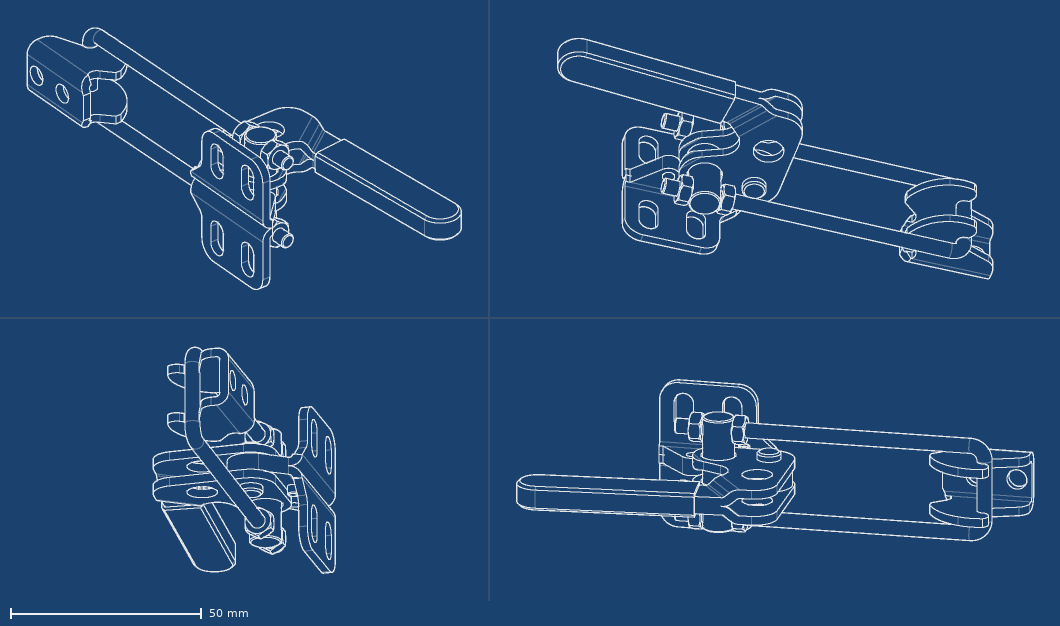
import cadquery as cq
import math


overall_length = 129.61
overall_height = 46.1
sheet = 2.4
bend_inner = 0.9
bend_outer = bend_inner + sheet
pivot = (68.0, 14.0)
barrel_axis = (81.55, 14.0)
hook_axis = (10.3, 12.9)

catch_half_width = 8.0
catch_length = 24.0
catch_corner_length = 2.1
catch_corner_width = 4.1
catch_hole_diameter = 5.3
catch_hole_places = (4.0, 15.0)
wall_end_low = (0, 4.8)
wall_end_middle = (0.7, 6.9)
wall_end_high = (2.1, 8.1)
slot_lip = (9.6, 10.9)
finger_root = (9.4, 14.95)
finger_tip_low = (8.6, 16.0)
finger_tip_middle = (8.4, 18.2)
finger_tip_high = (9.3, 19.4)
crest = (12.5, 19.8)
crest_end = (16.0, 19.3)
back_middle = (21.6, 16.4)
back_end = (25.4, 11.4)
back_corner = (25.4, 9.7)
neck_top = (22.2, 6.9)
neck_middle = (21.1, 5.2)
neck_foot = (21.6, bend_outer)

wire_radius = 2.0
rod_spacing = 24.2
hook_bend_radius = 3.8
rod_overhang = 11.45
rod_end_chamfer = 0.3
bolt_tilt = math.degrees(math.atan2(barrel_axis[1] - hook_axis[1], barrel_axis[0] - hook_axis[0]))
nut_across_flats = 7.0
nut_height = 3.2
nut_chamfer_angle = math.radians(35)
barrel_radius = 4.2
barrel_length = 30.8
barrel_chamfer = 0.35

base_lift = 0.3
bend_top = base_lift + bend_outer
flange_left = 74.0
flange_right = 100.0
flange_half_width = 20.0
flange_corner_radius = 5.0
flange_neck = (69.2, bend_outer)
flange_shoulder_z = 7.6
flange_shoulder_radius = 3.0
flange_slot_width = 5.2
flange_slot_length = 10.2
flange_slot_spacing = 13.0
flange_slot_z = 12.0
lobe_radius = 6.2
web_foot_left = 67.9
web_foot_right = 98.8
stop_centre = (89.8, 8.5)
stop_radius = 3.1
stop_hole_diameter = 3.2
valley_y = 9.5
eyelet_centre = (76.75, 5.0)
eyelet_outer_diameter = 3.0
eyelet_hole_diameter = 2.2
eyelet_chamfer = 0.25
rivet_shank_diameter = 5.0
rivet_head_diameter = 6.3
rivet_head_height = 2.0
rivet_head_chamfer = 0.5

lever_outer_z = 2 * sheet
lever_end_radius = 6.8
lever_hole_centre = (68.1, 27.3)
lever_hole_diameter = 8.0
lever_top_corner_radius = 6.0
barrel_hole_diameter = 9.2
throat_radius = 5.0
throat_from_grip_end = 43.9
handle_angle = math.radians(5)
grip_radius = 5.6
grip_wall = 0.9
grip_length = 42.0
grip_end_centre = (overall_length - grip_radius, overall_height - grip_radius)
grip_chamfer = 0.8
tail_radius = grip_radius - grip_wall
joggle_start = (69.5, 40.9)
joggle_direction = math.radians(35.6)
joggle_slope = math.radians(45)
reach = 100.0


def polar(centre, radius, angle):
    return (centre[0] + radius * math.cos(angle), centre[1] + radius * math.sin(angle))


def tangent_angle(centre, radius, point, side):
    """Direction, from the centre, of the place where a line from the point touches the circle."""
    dx = point[0] - centre[0]
    dy = point[1] - centre[1]
    return math.atan2(dy, dx) + side * math.acos(radius / math.hypot(dx, dy))


def handle_point(along, across):
    """A point measured along and across the handle from the centre of its round end."""
    middle = polar(grip_end_centre, along, handle_angle)
    return polar(middle, across, handle_angle + math.pi / 2)


def both_sides(half):
    return half.union(half.mirror("XY"))


def plate(outline, half_thickness):
    return outline.extrude(half_thickness, both=True)


def disc(centre, diameter, half_thickness):
    return plate(cq.Workplane("XY").center(*centre).circle(diameter / 2), half_thickness)


def bend_section(x_start, y_centre, z_centre, side):
    """Quarter-round sheet bend in the YZ plane; side is the Z direction of its web."""
    def at(radius, angle):
        return (y_centre - radius * math.sin(angle), z_centre + side * radius * math.cos(angle))
    quarter = math.pi / 2
    return (
        cq.Workplane("YZ", origin=(x_start, 0, 0))
        .moveTo(*at(bend_inner, 0))
        .lineTo(*at(bend_outer, 0))
        .threePointArc(at(bend_outer, quarter / 2), at(bend_outer, quarter))
        .lineTo(*at(bend_inner, quarter))
        .threePointArc(at(bend_inner, quarter / 2), at(bend_inner, 0))
        .close()
    )


def make_catch():
    flat_half_width = catch_half_width - bend_outer
    slot_x, slot_y = hook_axis
    floor = (
        cq.Workplane("XY")
        .box(catch_length, sheet, 2 * flat_half_width, centered=(False, False, True))
    )
    bend = bend_section(0, bend_outer, flat_half_width, 1).extrude(catch_length)
    corner = (
        cq.Workplane("XZ")
        .moveTo(catch_length, -(catch_half_width - catch_corner_width))
        .lineTo(catch_length, -catch_half_width)
        .lineTo(catch_length - catch_corner_length, -catch_half_width)
        .close()
        .extrude(-bend_outer)
    )
    wall = (
        cq.Workplane("XY", origin=(0, 0, catch_half_width - sheet))
        .moveTo(0, bend_outer)
        .lineTo(*wall_end_low)
        .threePointArc(wall_end_middle, wall_end_high)
        .lineTo(*slot_lip)
        .lineTo(slot_x, slot_y - wire_radius)
        .threePointArc((slot_x + wire_radius, slot_y), (slot_x, slot_y + wire_radius))
        .lineTo(*finger_root)
        .lineTo(*finger_tip_low)
        .threePointArc(finger_tip_middle, finger_tip_high)
        .threePointArc(crest, crest_end)
        .threePointArc(back_middle, back_end)
        .lineTo(*back_corner)
        .lineTo(*neck_top)
        .threePointArc(neck_middle, neck_foot)
        .close()
        .extrude(sheet)
    )
    half = bend.union(wall)
    body = floor.union(both_sides(half)).cut(both_sides(corner.mirror("XY")))
    for x in catch_hole_places:
        hole = cq.Workplane("XZ").center(x, 0).circle(catch_hole_diameter / 2).extrude(-sheet)
        body = body.cut(hole)
    return body


def tilt(body):
    return body.rotate((*hook_axis, 0), (*hook_axis, 1), bolt_tilt)


def make_bolt():
    half_span = rod_spacing / 2
    rod_end = math.dist(hook_axis, barrel_axis) + rod_overhang
    mid_bend = hook_bend_radius * (1 - math.sqrt(0.5))
    path = (
        cq.Workplane("XZ", origin=(*hook_axis, 0))
        .moveTo(rod_end, -half_span)
        .lineTo(hook_bend_radius, -half_span)
        .threePointArc((mid_bend, mid_bend - half_span), (0, hook_bend_radius - half_span))
        .lineTo(0, half_span - hook_bend_radius)
        .threePointArc((mid_bend, half_span - mid_bend), (hook_bend_radius, half_span))
        .lineTo(rod_end, half_span)
    )
    section = cq.Workplane("YZ", origin=(hook_axis[0] + rod_end, hook_axis[1], -half_span))
    wire = section.circle(wire_radius).sweep(path)
    return tilt(wire.faces(">X").chamfer(rod_end_chamfer))


def make_nut(offset, z):
    """Hexagon nut centred at the offset from the barrel axis along the rod."""
    corner_diameter = nut_across_flats / math.cos(math.pi / 6)
    corner_cut = (corner_diameter - nut_across_flats) / 2
    axis_x = hook_axis[0] + math.dist(hook_axis, barrel_axis) + offset
    chamfer_depth = corner_cut * math.tan(nut_chamfer_angle)
    plane = cq.Plane(origin=(axis_x - nut_height / 2, hook_axis[1], z), xDir=(0, 0, 1), normal=(1, 0, 0))
    hexagon = cq.Workplane(plane).polygon(6, corner_diameter).extrude(nut_height)
    chamfered = (
        cq.Workplane(plane)
        .circle(corner_diameter / 2)
        .extrude(nut_height)
        .edges()
        .chamfer(chamfer_depth, corner_cut)
    )
    bore = cq.Workplane(plane).circle(wire_radius).extrude(nut_height)
    return tilt(hexagon.intersect(chamfered).cut(bore))


def make_nuts():
    offset = barrel_radius + nut_height / 2
    return [make_nut(sx * offset, sz * rod_spacing / 2) for sx in (-1, 1) for sz in (-1, 1)]


def make_barrel(bolt):
    bar = disc(barrel_axis, 2 * barrel_radius, barrel_length / 2)
    return bar.faces("<Z or >Z").chamfer(barrel_chamfer).cut(bolt)


def make_web():
    foot_left = (web_foot_left, bend_top)
    foot_right = (web_foot_right, bend_top)
    lobe_touch = polar(pivot, lobe_radius, tangent_angle(pivot, lobe_radius, foot_left, -1))
    stop_touch = polar(stop_centre, stop_radius, tangent_angle(stop_centre, stop_radius, foot_right, 1))
    body = plate(
        cq.Workplane("XY").polyline([
            pivot, lobe_touch, foot_left, foot_right, stop_touch, stop_centre,
            (stop_centre[0], valley_y), (pivot[0], valley_y),
        ]).close(),
        sheet,
    )
    body = body.union(disc(pivot, 2 * lobe_radius, sheet))
    body = body.union(disc(stop_centre, 2 * stop_radius, sheet))
    return body.cut(disc(stop_centre, stop_hole_diameter, sheet))


def make_bends():
    bends = both_sides(
        bend_section(web_foot_left, bend_top, bend_outer, -1).extrude(flange_right - web_foot_left)
    )
    slanted_end = plate(
        cq.Workplane("XY").polyline([
            (web_foot_left, bend_top), (flange_neck[0], base_lift),
            (flange_right, base_lift), (flange_right, bend_top),
        ]).close(),
        bend_outer,
    )
    return bends.intersect(slanted_end)


def make_flange():
    plane = cq.Workplane("XZ", origin=(0, base_lift, 0))
    half = (
        plane.polyline([
            flange_neck, (flange_left, flange_shoulder_z), (flange_left, flange_half_width),
            (flange_right, flange_half_width), (flange_right, bend_outer),
        ]).close().extrude(-sheet)
    )
    half = half.edges("|Y and >Z").fillet(flange_corner_radius)
    shoulder = cq.selectors.NearestToPointSelector((flange_left, base_lift + sheet / 2, flange_shoulder_z))
    half = half.edges(shoulder).fillet(flange_shoulder_radius)
    slots = (
        plane.center((flange_left + flange_right) / 2, flange_slot_z)
        .rarray(flange_slot_spacing, 1, 2, 1)
        .slot2D(flange_slot_length, flange_slot_width, 90)
        .extrude(-sheet)
    )
    return both_sides(half.cut(slots))


def make_base():
    rivet_half_length = lever_outer_z + rivet_head_height
    rivet_head = (
        cq.Workplane("XY", origin=(*pivot, lever_outer_z))
        .circle(rivet_head_diameter / 2)
        .extrude(rivet_head_height)
        .faces(">Z")
        .chamfer(rivet_head_chamfer)
    )
    rivet = disc(pivot, rivet_shank_diameter, rivet_half_length).union(both_sides(rivet_head))
    eyelet = disc(eyelet_centre, eyelet_outer_diameter, lever_outer_z)
    eyelet = eyelet.faces("<Z or >Z").chamfer(eyelet_chamfer)
    body = make_web().union(make_bends()).union(make_flange()).union(eyelet).union(rivet)
    return body.cut(disc(eyelet_centre, eyelet_hole_diameter, lever_outer_z))


def lever_outline():
    left = pivot[0] - lever_end_radius
    bottom = pivot[1] - lever_end_radius
    throat_centre = handle_point(-throat_from_grip_end, -tail_radius - throat_radius)
    top_along = (left - handle_point(0, tail_radius)[0]) / math.cos(handle_angle)
    corner = handle_point(top_along, tail_radius)
    throat_top = handle_angle + math.pi / 2
    flank = tangent_angle(barrel_axis, lever_end_radius + throat_radius, throat_centre, -1)
    lobe_middle = (flank - math.pi / 2) / 2
    throat_middle = (throat_top + flank + math.pi) / 2
    return (
        cq.Workplane("XY")
        .moveTo(left, pivot[1])
        .lineTo(*corner)
        .lineTo(*handle_point(0, tail_radius))
        .threePointArc(handle_point(tail_radius, 0), handle_point(0, -tail_radius))
        .lineTo(*polar(throat_centre, throat_radius, throat_top))
        .threePointArc(
            polar(throat_centre, throat_radius, throat_middle),
            polar(throat_centre, throat_radius, flank + math.pi),
        )
        .lineTo(*polar(barrel_axis, lever_end_radius, flank))
        .threePointArc(polar(barrel_axis, lever_end_radius, lobe_middle), (barrel_axis[0], bottom))
        .lineTo(pivot[0], bottom)
        .threePointArc(polar(pivot, lever_end_radius, math.radians(-135)), (left, pivot[1]))
        .close()
    )


def joggled_sheet():
    """Upper sheet, stepping down by its own thickness across the joggle line."""
    sine = math.sin(joggle_slope)
    cosine = math.cos(joggle_slope)
    arc_drop = (bend_outer + bend_inner) * (1 - cosine)
    ramp = (sheet - arc_drop) / math.tan(joggle_slope)
    step_end = (bend_outer + bend_inner) * sine + ramp
    upper_centre = (0, lever_outer_z - bend_outer)
    lower_centre = (step_end, sheet + bend_inner)

    def upper(radius, angle):
        return polar(upper_centre, radius, math.pi / 2 - angle)

    def lower(radius, angle):
        return polar(lower_centre, radius, -math.pi / 2 - angle)

    section = cq.Plane(
        origin=(*joggle_start, 0),
        xDir=(math.cos(joggle_direction), math.sin(joggle_direction), 0),
        normal=(math.sin(joggle_direction), -math.cos(joggle_direction), 0),
    )
    half_slope = joggle_slope / 2
    return (
        cq.Workplane(section)
        .moveTo(-reach, lever_outer_z)
        .lineTo(*upper(bend_outer, 0))
        .threePointArc(upper(bend_outer, half_slope), upper(bend_outer, joggle_slope))
        .lineTo(*lower(bend_inner, joggle_slope))
        .threePointArc(lower(bend_inner, half_slope), lower(bend_inner, 0))
        .lineTo(reach, sheet)
        .lineTo(reach, 0)
        .lineTo(*lower(bend_outer, 0))
        .threePointArc(lower(bend_outer, half_slope), lower(bend_outer, joggle_slope))
        .lineTo(*upper(bend_inner, joggle_slope))
        .threePointArc(upper(bend_inner, half_slope), upper(bend_inner, 0))
        .lineTo(-reach, sheet)
        .close()
        .extrude(reach, both=True)
    )


def make_lever():
    blank = plate(lever_outline(), lever_outer_z)
    corner = cq.selectors.NearestToPointSelector((pivot[0] - lever_end_radius, joggle_start[1], 0))
    blank = blank.edges("|Z").edges(corner).fillet(lever_top_corner_radius)
    blank = blank.cut(disc(lever_hole_centre, lever_hole_diameter, lever_outer_z))
    blank = blank.cut(disc(pivot, rivet_shank_diameter, lever_outer_z))
    blank = blank.cut(disc(barrel_axis, barrel_hole_diameter, lever_outer_z))
    return both_sides(blank.intersect(joggled_sheet()))


def make_grip(lever):
    sleeve = plate(
        cq.Workplane("XY")
        .moveTo(*handle_point(-grip_length, grip_radius))
        .lineTo(*handle_point(0, grip_radius))
        .threePointArc(handle_point(grip_radius, 0), handle_point(0, -grip_radius))
        .lineTo(*handle_point(-grip_length, -grip_radius))
        .close(),
        sheet + grip_wall,
    )
    long_edges = cq.selectors.BoxSelector(
        (*handle_point(-grip_length + grip_wall, -reach), -reach), (reach * 2, reach, reach)
    )
    sleeve = sleeve.faces("<Z or >Z").edges(long_edges).chamfer(grip_chamfer)
    return sleeve.cut(lever)


catch = make_catch()
bolt = make_bolt()
nuts = make_nuts()
barrel = make_barrel(bolt)
base = make_base()
lever = make_lever()
grip = make_grip(lever)

result = cq.Compound.makeCompound([
    catch.val(), bolt.val(), *[nut.val() for nut in nuts],
    barrel.val(), base.val(), lever.val(), grip.val(),
])